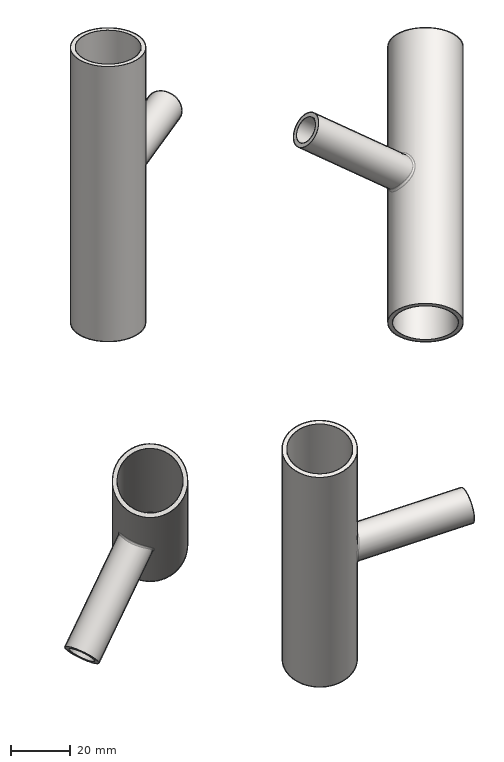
import cadquery as cq

tube_length = 108.0
tube_diameter = 25.4
wall = 1.6

branch_diameter = 12.7
branch_reach = 54.0
weld_radius = 0.8

tube_radius = tube_diameter / 2
bore_radius = tube_radius - wall
branch_bore_radius = branch_diameter / 2 - wall


def upright_cylinder(radius):
    return cq.Workplane("XY").circle(radius).extrude(tube_length / 2, both=True)


def branch_cylinder(radius):
    return cq.Workplane("XZ").circle(radius).extrude(-branch_reach)


def outer_body():
    body = upright_cylinder(tube_radius).union(branch_cylinder(branch_diameter / 2))
    seam_box = cq.selectors.BoxSelector(
        (-tube_radius, 0, -branch_diameter),
        (tube_radius, tube_diameter, branch_diameter),
        boundingbox=True,
    )
    return body.edges(seam_box).fillet(weld_radius)


result = outer_body().cut(upright_cylinder(bore_radius)).cut(branch_cylinder(branch_bore_radius))